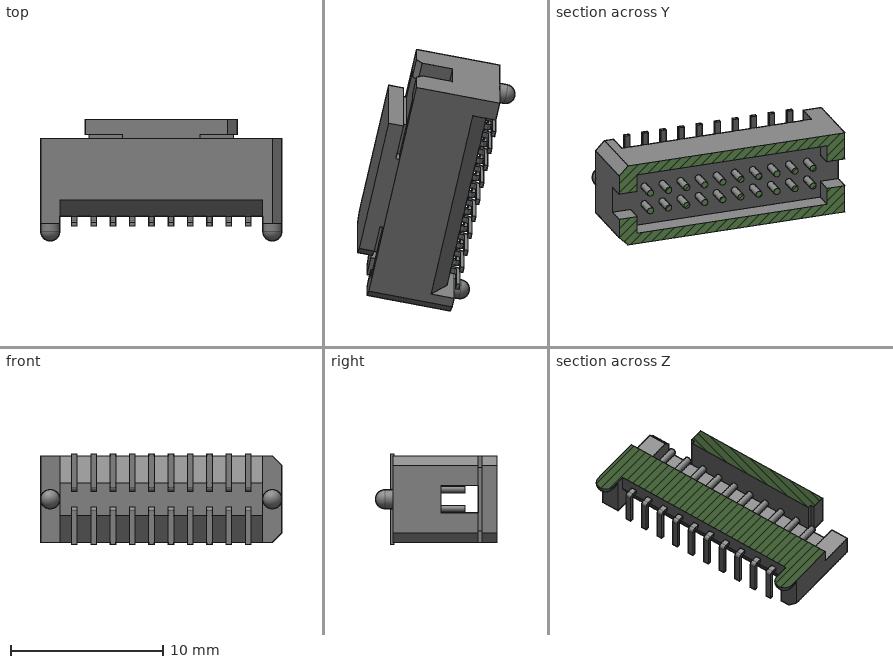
import cadquery as cq


HOUSING_LENGTH = 15.88
HOUSING_DEPTH = 5.6
HOUSING_HEIGHT = 5.72
END_WALL = 1.27
KEY_CHAMFER = 0.64

CAVITY_DEPTH = 2.43
CAVITY_HEIGHT = 4.16
WIDE_SLOT_HEIGHT = 1.89
NARROW_SLOT_HEIGHT = 1.78
SLOT_MOUTH_CHAMFER = 0.38

RECESS_DEPTH_AT_MIDDLE = 0.48
RECESS_DEPTH_AT_EDGE = 1.55
RECESS_FLAT_HEIGHT = 2.16

PEG_DIAMETER = 1.27
PEG_STRAIGHT = 0.51

PINS_PER_ROW = 10
PIN_PITCH = 1.27
ROW_SPACING = 1.27
POST_DIAMETER = 0.46
POST_LENGTH = 1.59
TAIL_WIDTH = 0.38
TAIL_THICKNESS = 0.24
TAIL_SPAN = 5.97
TAIL_STANDOFF = 0.16
BEND_OUTER_RADIUS = 0.24
BEND_INNER_RADIUS = 0.1

CAP_PLATE_LENGTH = 10.0
CAP_PLATE_THICKNESS = 1.0
CAP_GAP = 0.25
CAP_BOSS_LENGTH = 9.53
CAP_BOSS_HEIGHT = CAVITY_HEIGHT
CAP_PAD_LENGTH = 5.11

INNER_LENGTH = HOUSING_LENGTH - 2 * END_WALL
HALF_LENGTH = HOUSING_LENGTH / 2
HALF_HEIGHT = HOUSING_HEIGHT / 2
FRONT_Y = -HOUSING_DEPTH
RECESS_Y = FRONT_Y + RECESS_DEPTH_AT_MIDDLE
PEG_X = HALF_LENGTH - END_WALL / 2


def box(length, y_start, y_end, height, x_center=0.0):
    """Box centred on Z = 0 between two Y planes."""
    y_center = (y_start + y_end) / 2
    return cq.Workplane("XY").box(length, y_end - y_start, height).translate((x_center, y_center, 0))


def profile_along_x(points, length, x_center=0.0):
    """Prism with a (Y, Z) outline, centred on x_center."""
    outline = cq.Workplane("YZ", origin=(x_center, 0, 0)).polyline(points).close()
    return outline.extrude(length / 2, both=True)


def keyed_block(length, y_start, y_end):
    """Full-height block whose two long corners at the +X end are chamfered."""
    return box(length, y_start, y_end, HOUSING_HEIGHT).faces(">X").edges("|Y").chamfer(KEY_CHAMFER)


def tail_recess():
    """Recess that is shallow across the middle and slopes deeper to the top and bottom faces."""
    flat = RECESS_FLAT_HEIGHT / 2
    edge_y = FRONT_Y + RECESS_DEPTH_AT_EDGE
    points = [
        (FRONT_Y, -HALF_HEIGHT),
        (edge_y, -HALF_HEIGHT),
        (RECESS_Y, -flat),
        (RECESS_Y, flat),
        (edge_y, HALF_HEIGHT),
        (FRONT_Y, HALF_HEIGHT),
    ]
    return profile_along_x(points, INNER_LENGTH)


def wide_slot():
    """Slot through the -X end wall, flared at the mating face."""
    half = WIDE_SLOT_HEIGHT / 2
    flared = half + SLOT_MOUTH_CHAMFER
    points = [
        (-CAVITY_DEPTH, -half),
        (-SLOT_MOUTH_CHAMFER, -half),
        (0, -flared),
        (0, flared),
        (-SLOT_MOUTH_CHAMFER, half),
        (-CAVITY_DEPTH, half),
    ]
    return profile_along_x(points, END_WALL, -PEG_X)


def peg(x_center):
    """Round-ended locating peg, pointing to -Y."""
    radius = PEG_DIAMETER / 2
    shoulder_y = FRONT_Y - PEG_STRAIGHT
    half_outline = (
        cq.Workplane("XY", origin=(x_center, 0, 0))
        .moveTo(0, FRONT_Y)
        .lineTo(radius, FRONT_Y)
        .lineTo(radius, shoulder_y)
        .radiusArc((0, shoulder_y - radius), radius)
        .close()
    )
    return half_outline.revolve(360, (0, 0, 0), (0, 1, 0))


def contact(x_center):
    """Contact of the upper row: round post in the cavity and bent flat tail outside."""
    row_z = ROW_SPACING / 2
    post_plane = cq.Workplane("XZ", origin=(x_center, -CAVITY_DEPTH + POST_LENGTH, row_z))
    post = post_plane.circle(POST_DIAMETER / 2).extrude(POST_LENGTH)

    outer_y = FRONT_Y - TAIL_STANDOFF
    inner_y = outer_y + TAIL_THICKNESS
    low_z = row_z - TAIL_THICKNESS / 2
    high_z = row_z + TAIL_THICKNESS / 2
    tip_z = TAIL_SPAN / 2
    tail = (
        cq.Workplane("YZ", origin=(x_center, 0, 0))
        .moveTo(RECESS_Y, low_z)
        .lineTo(outer_y + BEND_OUTER_RADIUS, low_z)
        .radiusArc((outer_y, low_z + BEND_OUTER_RADIUS), BEND_OUTER_RADIUS)
        .lineTo(outer_y, tip_z)
        .lineTo(inner_y, tip_z)
        .lineTo(inner_y, high_z + BEND_INNER_RADIUS)
        .radiusArc((inner_y + BEND_INNER_RADIUS, high_z), -BEND_INNER_RADIUS)
        .lineTo(RECESS_Y, high_z)
        .close()
        .extrude(TAIL_WIDTH / 2, both=True)
    )
    return [post, tail]


def make_housing():
    """Housing with its pegs and its two rows of moulded-in contacts."""
    body = keyed_block(HOUSING_LENGTH, FRONT_Y, 0)
    body = body.cut(box(INNER_LENGTH, -CAVITY_DEPTH, 0, CAVITY_HEIGHT))
    body = body.cut(wide_slot())
    body = body.cut(box(END_WALL, -CAVITY_DEPTH, 0, NARROW_SLOT_HEIGHT, PEG_X))
    body = body.cut(tail_recess())
    for x_center in (-PEG_X, PEG_X):
        body = body.union(peg(x_center))
    for index in range(PINS_PER_ROW):
        x_center = (index - (PINS_PER_ROW - 1) / 2) * PIN_PITCH
        for piece in contact(x_center):
            body = body.union(piece)
            body = body.union(piece.mirror("XY"))
    return body


def make_cap():
    """Cap plate with a low boss over the cavity and a full-height pad resting on the housing."""
    plate = keyed_block(CAP_PLATE_LENGTH, CAP_GAP, CAP_GAP + CAP_PLATE_THICKNESS)
    boss = box(CAP_BOSS_LENGTH, 0, CAP_GAP, CAP_BOSS_HEIGHT)
    pad = box(CAP_PAD_LENGTH, 0, CAP_GAP, HOUSING_HEIGHT)
    return plate.union(boss).union(pad)


housing = make_housing()
cap = make_cap()
result = cq.Compound.makeCompound([housing.val(), cap.val()])